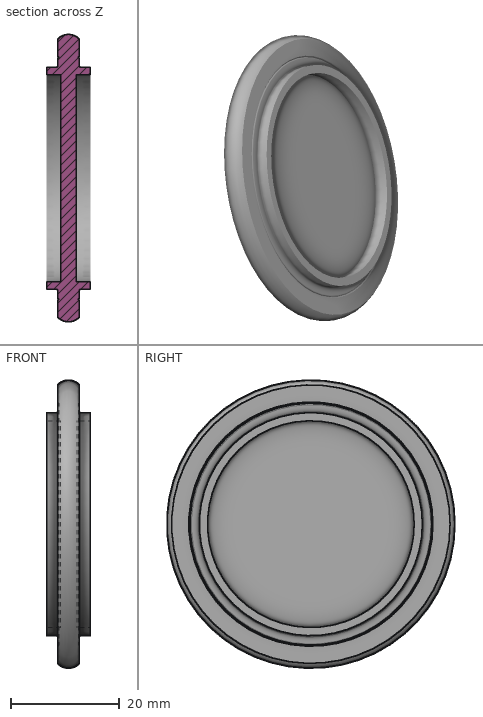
import cadquery as cq
import math

hub_width = 8.0
hub_diameter = 41.0
rim_width = 4.0
rim_diameter = 53.0

recess_diameter = 38.0
recess_depth = 2.5

crown_radius = 2.67

hub_fillet = 0.2

groove_outer_diameter = 44.9
groove_depth = 0.22

half_hub = hub_width / 2
half_rim = rim_width / 2
hub_radius = hub_diameter / 2
rim_radius = rim_diameter / 2
crown_drop = crown_radius - math.sqrt(crown_radius**2 - half_rim**2)


def revolve_about_x(profile):
    """Revolve a profile drawn as (x, radius) into a full turn about the X axis."""
    return profile.close().revolve(360, (0, 0, 0), (1, 0, 0))


def make_body():
    """Hub with a larger, narrower, crowned rim."""
    shoulder_radius = rim_radius - crown_drop
    fillet_end = half_rim + hub_fillet
    fillet_foot = hub_radius + hub_fillet
    profile = (
        cq.Workplane("XY")
        .moveTo(-half_hub, 0)
        .lineTo(-half_hub, hub_radius)
        .lineTo(-fillet_end, hub_radius)
        .radiusArc((-half_rim, fillet_foot), -hub_fillet)
        .lineTo(-half_rim, shoulder_radius)
        .threePointArc((0, rim_radius), (half_rim, shoulder_radius))
        .lineTo(half_rim, fillet_foot)
        .radiusArc((fillet_end, hub_radius), -hub_fillet)
        .lineTo(half_hub, hub_radius)
        .lineTo(half_hub, 0)
    )
    return revolve_about_x(profile)


def make_recess(side):
    """Flat-bottomed circular recess in the hub face on one side (-1 or +1)."""
    recess_floor = half_hub - recess_depth
    floor_plane = cq.Workplane("YZ", origin=(side * recess_floor, 0, 0))
    return floor_plane.circle(recess_diameter / 2).extrude(side * recess_depth)


def make_groove(side):
    """Fine ring groove in the rim face on one side (-1 or +1)."""
    outer_radius = groove_outer_diameter / 2
    bottom_radius = outer_radius - groove_depth
    inner_radius = bottom_radius - groove_depth
    profile = (
        cq.Workplane("XY")
        .moveTo(side * half_rim, inner_radius)
        .radiusArc((side * (half_rim - groove_depth), bottom_radius), -side * groove_depth)
        .lineTo(side * half_rim, outer_radius)
    )
    return revolve_about_x(profile)


result = make_body()
for face_side in (-1, 1):
    result = result.cut(make_recess(face_side)).cut(make_groove(face_side))